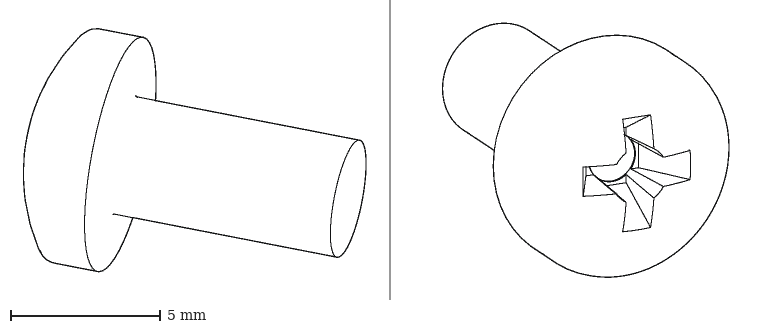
import cadquery as cq
import math

head_diameter = 8.0
shank_diameter = head_diameter / 2
shank_length = 8.0
head_height = 3.1
dome_radius = 6.5
rim_fillet = 0.4
neck_fillet = 0.2

arm_depth = 2.2
core_depth = 2.26
arm_width = 1.04
arm_span_mouth = 4.0
arm_span_floor = 1.96
core_radius_mouth = 1.01
core_radius_floor = 0.86


def dome_depth(radius):
    """Axial distance from the dome apex to the dome surface at a radius."""
    return dome_radius - math.sqrt(dome_radius**2 - radius**2)


def make_body():
    """Revolve the half profile of head and shank, then round rim and neck."""
    head_radius = head_diameter / 2
    shank_radius = shank_diameter / 2
    end = head_height + shank_length
    rim = dome_depth(head_radius)
    body = (
        cq.Workplane("XY")
        .moveTo(0, 0)
        .threePointArc((dome_depth(head_radius / 2), head_radius / 2), (rim, head_radius))
        .lineTo(head_height, head_radius)
        .lineTo(head_height, shank_radius)
        .lineTo(end, shank_radius)
        .lineTo(end, 0)
        .close()
        .revolve(360, (0, 0, 0), (1, 0, 0))
    )
    rim_center = (rim, 0, 0)
    body = body.edges(cq.NearestToPointSelector(rim_center)).fillet(rim_fillet)
    head_underside = body.faces("%PLANE").faces("<X")
    return head_underside.edges(cq.selectors.RadiusNthSelector(0)).fillet(neck_fillet)


def make_arm_pair():
    """Slot across the head along Y whose end walls slope in to the floor."""
    mouth = dome_depth(arm_span_mouth / 2)
    slope = (arm_span_mouth - arm_span_floor) / 2 / (arm_depth - mouth)
    half_top = arm_span_mouth / 2 + slope * mouth
    half_floor = arm_span_floor / 2
    return (
        cq.Workplane("XY")
        .moveTo(0, -half_top)
        .lineTo(0, half_top)
        .lineTo(arm_depth, half_floor)
        .lineTo(arm_depth, -half_floor)
        .close()
        .extrude(arm_width / 2, both=True)
    )


def make_core():
    """Tapered round core, slightly deeper than the arms."""
    mouth = dome_depth(core_radius_mouth)
    slope = (core_radius_mouth - core_radius_floor) / (core_depth - mouth)
    return cq.Workplane(
        cq.Solid.makeCone(
            core_radius_mouth + slope * mouth,
            core_radius_floor,
            core_depth,
            pnt=cq.Vector(0, 0, 0),
            dir=cq.Vector(1, 0, 0),
        )
    )


result = make_body().cut(make_core())
for angle in (0, 90):
    result = result.cut(make_arm_pair().rotate((0, 0, 0), (1, 0, 0), angle))